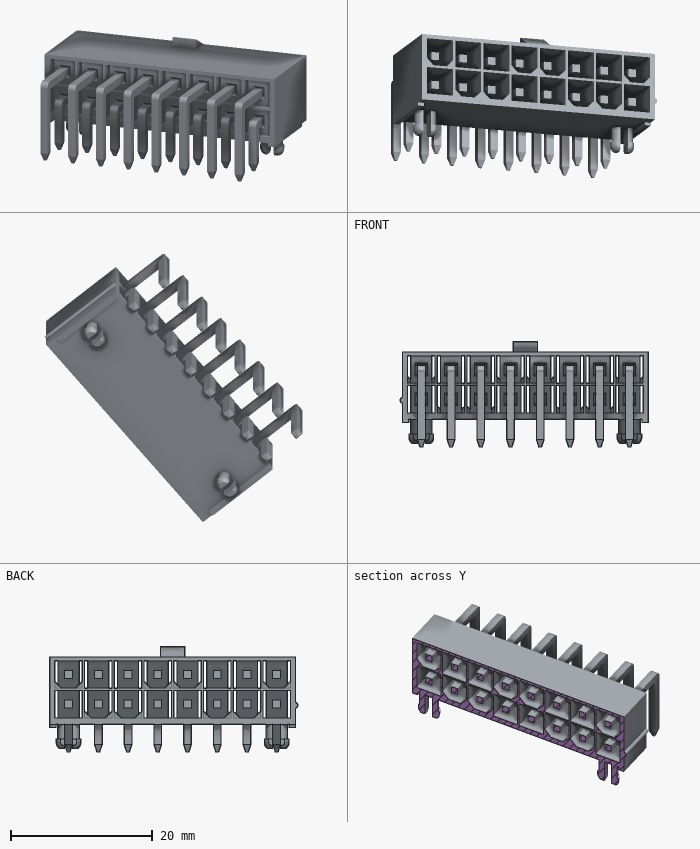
import cadquery as cq
import math


columns = 8
row_length = 29.4
pitch = row_length / (columns - 1)
column_x = [pitch * i - row_length / 2 for i in range(columns)]

rib_protrusion = 0.3
total_width = 35.1
housing_width = total_width - rib_protrusion
total_depth = 19.97
housing_depth = 12.78
housing_height = 10.0
foot_height = 0.45
foot_width = 0.9
foot_setback = 1.83

cell_size = 3.85
top_wall = 0.55
upper_row_z = housing_height - top_wall - cell_size / 2
lower_row_z = upper_row_z - pitch
keyed_upper = [0, 3, 4, 7]
keyed_lower = [1, 2, 5, 6]
key_leg = 0.95

holder_width = 3.02
holder_recess = 0.85
holder_thickness = 2.1
funnel_size = 1.8
funnel_depth = 0.35

pin_size = 1.12
pin_bend_radius = 0.77
pin_drop = 3.47
tip_length = 1.12
tip_size = 0.4
pin_socket_gap = 2.1
long_reach = total_depth - housing_depth
row_offset = 5.5
short_reach = long_reach - row_offset

ramp_width = 3.45
ramp_height = 1.45
ramp_length = 3.05
ramp_flat = 0.35

rib_chord = 0.88
rib_drop = 6.85

peg_y = 6.18
peg_slot = 1.12
stem_radius = 1.0
head_radius = 1.1
head_offset = 0.65
stem_length = 1.58
head_straight = 0.5
head_dome = 0.9


def box(x_size, y_size, z_size, x, y, z):
    """Box centred on x, starting at y and z."""
    return cq.Workplane("XY").box(x_size, y_size, z_size, (True, False, False)).translate((x, y, z))


def make_shell():
    height = housing_height - foot_height
    shell = box(housing_width, housing_depth, height, 0, 0, foot_height)
    foot_x = (housing_width - foot_width) / 2
    for x in (-foot_x, foot_x):
        shell = shell.union(box(foot_width, housing_depth - foot_setback, foot_height, x, 0, 0))
    return shell


def make_cell(x, z):
    return box(cell_size, housing_depth, cell_size, x, 0, z - cell_size / 2)


def make_key_bevels(x, z):
    """Two triangular fillers in the lower corners of a socket, behind the holder."""
    start = holder_recess + holder_thickness
    floor = z - cell_size / 2
    bevels = cq.Workplane("XZ", origin=(0, start, 0))
    for side in (-1, 1):
        wall = x + side * cell_size / 2
        bevels = (
            bevels.moveTo(wall, floor)
            .lineTo(wall, floor + key_leg)
            .lineTo(wall - side * key_leg, floor)
            .close()
        )
    return bevels.extrude(start - housing_depth)


def make_holder(x, z):
    """Upright block across a cell, with a funnel that narrows onto the pin."""
    block = box(holder_width, holder_thickness, cell_size, x, holder_recess, z - cell_size / 2)
    funnel = (
        cq.Workplane("XZ", origin=(x, holder_recess, z))
        .rect(funnel_size, funnel_size)
        .workplane(offset=-funnel_depth)
        .rect(pin_size, pin_size)
        .loft()
    )
    return block.cut(funnel)


def make_pin(x, z, reach):
    """L-shaped square pin: socket leg along Y, tail pointing down with a tapered tip."""
    half = pin_size / 2
    end_y = housing_depth - pin_socket_gap
    shoulder_z = tip_length - pin_drop
    bend_y = pin_bend_radius - reach
    bend_z = z + half - pin_bend_radius
    bend_mid = pin_bend_radius * math.sqrt(0.5)
    bar = (
        cq.Workplane("YZ", origin=(x - half, 0, 0))
        .moveTo(end_y, z - half)
        .lineTo(end_y, z + half)
        .lineTo(bend_y, z + half)
        .threePointArc((bend_y - bend_mid, bend_z + bend_mid), (-reach, bend_z))
        .lineTo(-reach, shoulder_z)
        .lineTo(pin_size - reach, shoulder_z)
        .lineTo(pin_size - reach, z - half)
        .close()
        .extrude(pin_size)
    )
    tip = (
        cq.Workplane("XY", origin=(x, half - reach, shoulder_z))
        .rect(pin_size, pin_size)
        .workplane(offset=-tip_length)
        .rect(tip_size, tip_size)
        .loft()
    )
    return bar.union(tip)


def make_ramp():
    back = housing_depth
    front = back - ramp_length
    return (
        cq.Workplane("YZ", origin=(-ramp_width / 2, 0, housing_height))
        .moveTo(back, 0)
        .lineTo(front + ramp_flat, ramp_height)
        .lineTo(front, ramp_height)
        .lineTo(front, 0)
        .close()
        .extrude(ramp_width)
    )


def make_rib():
    side = -housing_width / 2
    z = housing_height - rib_drop
    return (
        cq.Workplane("XZ")
        .moveTo(side, z - rib_chord / 2)
        .threePointArc((side - rib_protrusion, z), (side, z + rib_chord / 2))
        .close()
        .extrude(-housing_depth)
    )


def make_peg(x):
    """Peg split by a slot into two legs, each with a barbed, domed head."""
    head_top = -stem_length
    dome_z = head_top - head_straight
    bottom = dome_z - head_dome
    peg = (
        cq.Workplane("XY", origin=(x, peg_y, head_top))
        .slot2D(peg_slot + 2 * stem_radius, 2 * stem_radius)
        .extrude(foot_height - head_top)
    )
    flats = box(4 * head_radius, 2 * stem_radius, head_top - bottom, x, peg_y - stem_radius, bottom)
    for offset in (-head_offset, head_offset):
        axis = (x + offset, peg_y, dome_z)
        lobe = cq.Workplane("XY", origin=axis).circle(head_radius).extrude(head_straight)
        dome = cq.Workplane("XY", origin=axis).sphere(head_radius)
        lower_half = cq.Workplane("XY", origin=axis).circle(head_radius).extrude(-head_dome)
        peg = peg.union(lobe.union(dome.intersect(lower_half)).intersect(flats))
    slot = box(peg_slot, 4 * stem_radius, foot_height - bottom, x, peg_y - 2 * stem_radius, bottom)
    return peg.cut(slot)


rows = (
    (upper_row_z, keyed_upper, long_reach),
    (lower_row_z, keyed_lower, short_reach),
)
cells = cq.Workplane("XY")
inserts = cq.Workplane("XY")
for row_z, keyed, reach in rows:
    for i, x in enumerate(column_x):
        cells.add(make_cell(x, row_z))
        inserts.add(make_holder(x, row_z).union(make_pin(x, row_z, reach)))
        if i in keyed:
            inserts.add(make_key_bevels(x, row_z))
for x in (column_x[0], column_x[-1]):
    inserts.add(make_peg(x))

housing = make_shell().union(make_ramp()).union(make_rib())
housing = cq.Workplane(housing.val().cut(*cells.vals()))
result = cq.Workplane(housing.val().fuse(*inserts.vals()))